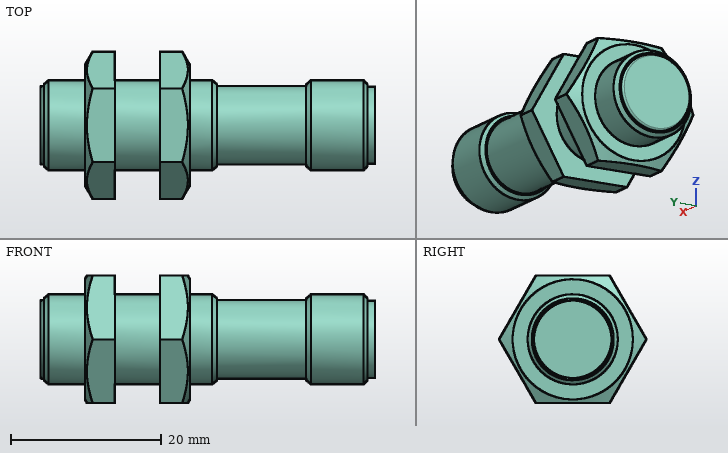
import cadquery as cq
import math

total_length = 44.51
body_diameter = 12.0
neck_diameter = 10.5
rear_collar_diameter = 10.3
cap_diameter = 10.5
cap_length = 0.45
cap_edge_radius = 0.25
front_barrel_end = 23.5
rear_barrel_start = 35.35
rear_collar_length = 1.0

chamfer_length = 0.65
chamfer_depth = 0.55
rear_chamfer = 0.55

across_flats = 17.0
nut_sides = 6
across_corners = across_flats / math.cos(math.pi / nut_sides)
nut_thickness = 4.0
nut_face_diameter = 16.0
nut_chamfer_angle = 30.0
front_nut_start = 5.9
nut_gap = 6.0


def make_body():
    """Turned body: front cap, front barrel, neck, rear barrel and rear collar."""
    body_radius = body_diameter / 2
    chamfer_root_radius = body_radius - chamfer_depth
    neck_radius = neck_diameter / 2
    cap_radius = cap_diameter / 2
    collar_radius = rear_collar_diameter / 2
    collar_start = total_length - rear_collar_length
    arc_middle_offset = cap_edge_radius * (1 - math.cos(math.radians(45)))
    half_profile = (
        cq.Workplane("XY")
        .lineTo(0, cap_radius - cap_edge_radius)
        .threePointArc((arc_middle_offset, cap_radius - arc_middle_offset), (cap_edge_radius, cap_radius))
        .lineTo(cap_length, cap_radius)
        .lineTo(cap_length, chamfer_root_radius)
        .lineTo(cap_length + chamfer_length, body_radius)
        .lineTo(front_barrel_end - chamfer_length, body_radius)
        .lineTo(front_barrel_end, chamfer_root_radius)
        .lineTo(front_barrel_end, neck_radius)
        .lineTo(rear_barrel_start, neck_radius)
        .lineTo(rear_barrel_start, chamfer_root_radius)
        .lineTo(rear_barrel_start + chamfer_length, body_radius)
        .lineTo(collar_start - rear_chamfer, body_radius)
        .lineTo(collar_start, body_radius - rear_chamfer)
        .lineTo(collar_start, collar_radius)
        .lineTo(total_length, collar_radius)
        .lineTo(total_length, 0)
        .close()
    )
    return half_profile.revolve(360, (0, 0, 0), (1, 0, 0))


def make_nut():
    """Hexagon nut starting at X = 0, flats facing +Z and -Z, corners bevelled on the X = 0 face."""
    hexagon = cq.Workplane("YZ").polygon(nut_sides, across_corners).extrude(nut_thickness)
    face_radius = nut_face_diameter / 2
    corner_radius = across_corners / 2
    bevel_depth = (corner_radius - face_radius) * math.tan(math.radians(nut_chamfer_angle))
    envelope_profile = [
        (0, 0),
        (0, face_radius),
        (bevel_depth, corner_radius),
        (nut_thickness, corner_radius),
        (nut_thickness, 0),
    ]
    envelope = cq.Workplane("XY").polyline(envelope_profile).close().revolve(360, (0, 0, 0), (1, 0, 0))
    return hexagon.intersect(envelope)


nut = make_nut()
rear_nut_end = front_nut_start + 2 * nut_thickness + nut_gap
front_nut = nut.translate((front_nut_start, 0, 0))
rear_nut = nut.mirror("YZ").translate((rear_nut_end, 0, 0))

result = make_body().union(front_nut).union(rear_nut)